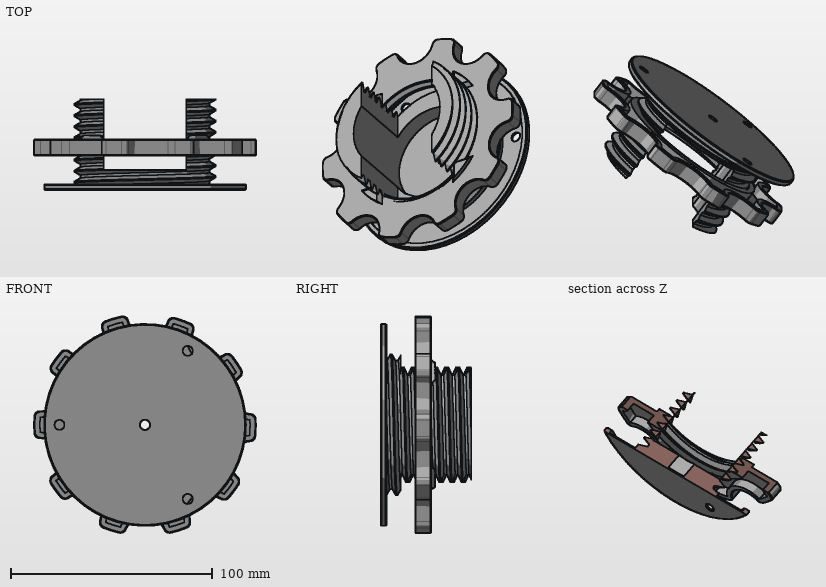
import cadquery as cq
import math

TOTAL_LENGTH = 45.0

FLANGE_RADIUS = 50.0
FLANGE_THICKNESS = 3.0
FLANGE_CHAMFER = 0.5
SKIN_THICKNESS = 1.0
RECESS_OUTER_RADIUS = 47.3
BORE_RADIUS = 25.0
HOLE_DIAMETER = 5.0
SCREW_CIRCLE_RADIUS = 42.3
SCREW_ANGLES = (60, 180, 300)

PITCH = 5.5
CREST_RADIUS = 35.0
CREST_WIDTH = PITCH / 8
ROOT_WIDTH = PITCH / 4
THREAD_DEPTH = (PITCH - CREST_WIDTH - ROOT_WIDTH) / 2 / math.tan(math.radians(30))
ROOT_RADIUS = CREST_RADIUS - THREAD_DEPTH
RIDGE_OVERLAP = 0.3
THREAD_PHASE = 1.1

SLOT_WIDTH = 40.7
SLOT_FLOOR = 10.0

NUT_START = 17.0
NUT_THICKNESS = 8.0
NUT_RADIUS = 55.0
NUT_CHAMFER = 0.4
LOBES = 10
SCALLOP_RADIUS = 10.2
LOBE_CORNER_RADIUS = 3.0
SCALLOP_CENTRE = (0.8, -0.7)
SCALLOP_TWIST = -0.8

RIM_WALL = 3.0
HUB_RADIUS = 37.9
GROOVE_DEPTH = 5.0

LUG_HEIGHT = 2.0
CHANNEL_WIDTH = SLOT_WIDTH


def face_plane(y):
    """Workplane across the axis at the given Y, with its own axes along X and Z."""
    return cq.Workplane("XZ", origin=(0, y, 0))


def disc(radius, start, end):
    return face_plane(start).circle(radius).extrude(start - end)


def threaded_rod(start, end):
    """Solid right-handed threaded rod along +Y."""
    lead_in = PITCH
    turns_start = THREAD_PHASE + PITCH * math.floor((start - lead_in - THREAD_PHASE) / PITCH)
    flank_slope = (PITCH - CREST_WIDTH - ROOT_WIDTH) / 2 / THREAD_DEPTH
    base_radius = ROOT_RADIUS - RIDGE_OVERLAP
    half_base = CREST_WIDTH / 2 + flank_slope * (CREST_RADIUS - base_radius)
    half_crest = CREST_WIDTH / 2
    helix = cq.Wire.makeHelix(PITCH, end + lead_in - turns_start, ROOT_RADIUS)
    ridge = (
        cq.Workplane("XZ")
        .polyline(
            [
                (base_radius, -half_base),
                (CREST_RADIUS, -half_crest),
                (CREST_RADIUS, half_crest),
                (base_radius, half_base),
            ]
        )
        .close()
        .sweep(cq.Workplane(helix), isFrenet=True)
        .translate((0, 0, turns_start))
        .rotate((0, 0, 0), (1, 0, 0), -90)
    )
    margin = 2 * PITCH
    core = disc(ROOT_RADIUS, start - margin, end + margin)
    return core.union(ridge).intersect(disc(CREST_RADIUS + 1.1, start, end))


def make_stud():
    flange = disc(FLANGE_RADIUS, 0, FLANGE_THICKNESS).edges().chamfer(FLANGE_CHAMFER)
    shank = threaded_rod(FLANGE_THICKNESS, TOTAL_LENGTH)
    slot_length = TOTAL_LENGTH - SLOT_FLOOR
    slot = cq.Workplane("XY").box(SLOT_WIDTH, slot_length, 2 * FLANGE_RADIUS).translate(
        (0, SLOT_FLOOR + slot_length / 2, 0)
    )
    bore = disc(BORE_RADIUS, SKIN_THICKNESS, TOTAL_LENGTH)
    recess = disc(RECESS_OUTER_RADIUS, SKIN_THICKNESS, FLANGE_THICKNESS).cut(
        disc(CREST_RADIUS, SKIN_THICKNESS, FLANGE_THICKNESS)
    )
    screw_points = [
        (
            SCREW_CIRCLE_RADIUS * math.cos(math.radians(a)),
            SCREW_CIRCLE_RADIUS * math.sin(math.radians(a)),
        )
        for a in SCREW_ANGLES
    ]
    screw_holes = face_plane(0).pushPoints(screw_points).circle(HOLE_DIAMETER / 2).extrude(-FLANGE_THICKNESS)
    centre_hole = disc(HOLE_DIAMETER / 2, 0, SLOT_FLOOR)
    flange = flange.cut(recess)
    return flange.union(shank.cut(slot)).cut(bore).cut(screw_holes).cut(centre_hole)


def lobed_disc(inset, start, end):
    """Disc with round scallops around it, its outline moved inwards by the inset."""
    scallop_points = []
    for i in range(LOBES):
        angle = math.radians((i + 0.5) * 360 / LOBES + SCALLOP_TWIST)
        scallop_points.append(
            (
                SCALLOP_CENTRE[0] + NUT_RADIUS * math.cos(angle),
                SCALLOP_CENTRE[1] + NUT_RADIUS * math.sin(angle),
            )
        )
    scallops = face_plane(start).pushPoints(scallop_points).circle(SCALLOP_RADIUS + inset).extrude(start - end)
    return disc(NUT_RADIUS - inset, start, end).cut(scallops)


def make_lugs():
    """Four ring segments, open over the bore, left between two crossed channels."""
    nut_end = NUT_START + NUT_THICKNESS
    half_bottom = CHANNEL_WIDTH / 2
    half_top = half_bottom + LUG_HEIGHT
    channel = (
        cq.Workplane("XY")
        .polyline(
            [
                (-half_bottom, nut_end),
                (half_bottom, nut_end),
                (half_top, nut_end + LUG_HEIGHT),
                (-half_top, nut_end + LUG_HEIGHT),
            ]
        )
        .close()
        .extrude(NUT_RADIUS, both=True)
    )
    crossing_channel = channel.rotate((0, 0, 0), (0, 1, 0), 90)
    return disc(HUB_RADIUS, nut_end, nut_end + LUG_HEIGHT).cut(channel).cut(crossing_channel)


def make_nut():
    nut_end = NUT_START + NUT_THICKNESS
    nut = lobed_disc(0, NUT_START, nut_end)
    nut = nut.edges("|Y").fillet(LOBE_CORNER_RADIUS)
    nut = nut.faces("<Y or >Y").edges().chamfer(NUT_CHAMFER)
    groove_end = NUT_START + GROOVE_DEPTH
    groove = lobed_disc(RIM_WALL, NUT_START, groove_end).cut(disc(HUB_RADIUS, NUT_START, groove_end))
    nut = nut.cut(groove)
    nut = nut.union(make_lugs())
    return nut.cut(threaded_rod(NUT_START, nut_end + LUG_HEIGHT))


stud = make_stud()
nut = make_nut()
result = cq.Compound.makeCompound([stud.val(), nut.val()])